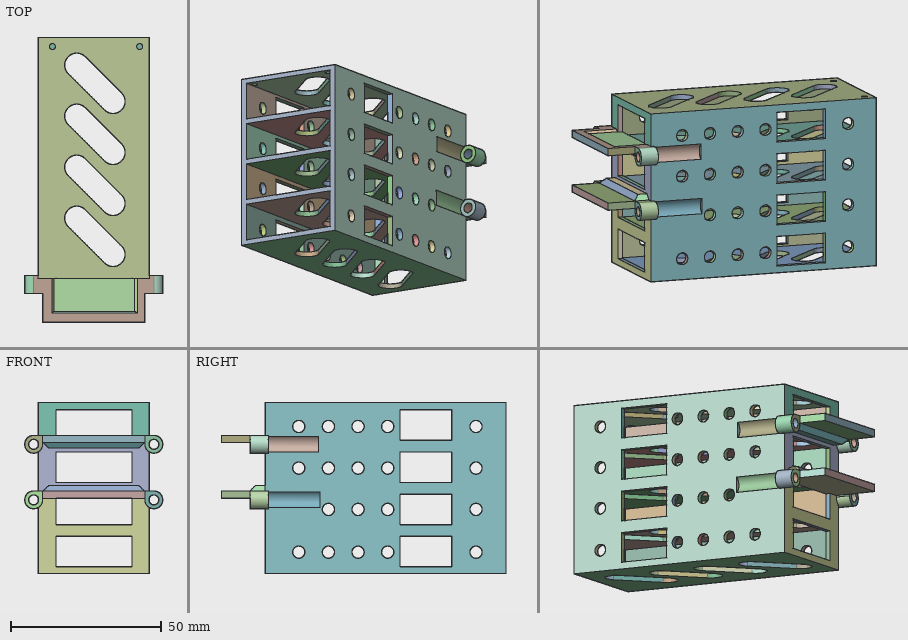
import cadquery as cq

body_width = 37.1
body_length = 80.2
body_height = 57.0
side_wall = 2.0
plate_wall = 1.6
bay_count = 4
bay_height = (body_height - (bay_count + 1) * plate_wall) / bay_count

window_height = 10.05
window_pitch = 14.0
first_window_z = 2.3
front_window_width = 25.2
front_window_x = 0.1
side_window_length = 17.2
side_window_y = 53.5

side_hole_diameter = 4.0
side_hole_pitch = 9.9
side_hole_front_y = 11.2
side_hole_back_y = 70.1
side_hole_rows = (7.1, 21.3, 35.1, 48.9)
short_row = 1
front_group_count = 4

slot_width = 8.0
slot_end_spacing = 17.1
slot_angle = -45
slot_count = 4
slot_pitch = 17.0
slot_first_y = 14.0
slot_x = 0.4
roof_hole_diameter = 2.0
roof_hole_spacing = 29.0
roof_hole_x = 0.8
roof_hole_edge = 3.0

overall_length = 94.8
overall_width = 46.0
ledge_width = 33.9
ledge_thickness = 2.5
ledge_reach = overall_length - body_length
lug_diameter = 6.0
lug_radius = lug_diameter / 2
lug_bore = 3.2
lug_front = 5.0
lug_back = 1.0
lug_x = overall_width / 2 - lug_radius
upper_ledge_top = 46.0
lower_ledge_top = 27.5

rib_width = 33.6
rib_height = 1.8

recess_depth = 0.9
recess_left = -13.8
recess_right = 14.5
recess_front = -11.5
recess_side_slope = 0.6
recess_right_slope = 0.95

upper_groove_length = 17.8
lower_groove_length = 18.2


def box(x_range, y_range, z_range):
    """Box spanning the given (low, high) ranges."""
    size = [high - low for low, high in (x_range, y_range, z_range)]
    corner = (x_range[0], y_range[0], z_range[0])
    return cq.Workplane("XY").box(*size, centered=False).translate(corner)


def y_cylinder(radius, x, z, y_range):
    """Cylinder along Y."""
    return (
        cq.Workplane("XZ", origin=(x, y_range[0], z))
        .circle(radius)
        .extrude(y_range[0] - y_range[1])
    )


def shell():
    """Outer box with the stacked bays removed."""
    half_width = body_width / 2
    half_bay = half_width - side_wall
    part = box((-half_width, half_width), (0, body_length), (0, body_height))
    for bay in range(bay_count):
        floor_z = plate_wall + bay * (bay_height + plate_wall)
        part = part.cut(
            box((-half_bay, half_bay), (plate_wall, body_length), (floor_z, floor_z + bay_height))
        )
    return part


def windows():
    """Cutters for the front windows and the window pairs in the side walls."""
    cutters = cq.Workplane("XY")
    front_x = (front_window_x - front_window_width / 2, front_window_x + front_window_width / 2)
    side_y = (side_window_y - side_window_length / 2, side_window_y + side_window_length / 2)
    for bay in range(bay_count):
        low = first_window_z + bay * window_pitch
        z_range = (low, low + window_height)
        cutters = cutters.add(box(front_x, (0, plate_wall), z_range))
        cutters = cutters.add(box((-body_width / 2, body_width / 2), side_y, z_range))
    return cutters


def side_holes():
    """Cutters for the hole rows, each running through both side walls."""
    points = []
    for row, z in enumerate(side_hole_rows):
        first = 1 if row == short_row else 0
        for index in range(first, front_group_count):
            points.append((side_hole_front_y + index * side_hole_pitch, z))
        points.append((side_hole_back_y, z))
    return (
        cq.Workplane("YZ")
        .pushPoints(points)
        .circle(side_hole_diameter / 2)
        .extrude(body_width / 2, both=True)
    )


def slots():
    """Cutters for the slanted slots, through every level."""
    points = [(slot_x, slot_first_y + index * slot_pitch) for index in range(slot_count)]
    return (
        cq.Workplane("XY")
        .pushPoints(points)
        .slot2D(slot_end_spacing + slot_width, slot_width, slot_angle)
        .extrude(body_height)
    )


def roof_holes():
    """Cutters for the two small holes at the back of the roof."""
    y = body_length - roof_hole_edge
    points = [(roof_hole_x + side * roof_hole_spacing / 2, y) for side in (-1, 1)]
    return (
        cq.Workplane("XY", origin=(0, 0, body_height - plate_wall))
        .pushPoints(points)
        .circle(roof_hole_diameter / 2)
        .extrude(plate_wall)
    )


def rib(base_z, direction):
    """Rib on a ledge face, with 45 degree ends and front; direction is +1 up, -1 down."""
    mound = cq.Workplane("XY").rect(rib_width, 2 * lug_front).extrude(rib_height, taper=45)
    front_half = box((-rib_width / 2, rib_width / 2), (-lug_front, 0), (0, rib_height))
    part = mound.intersect(front_half)
    if direction < 0:
        part = part.mirror("XY")
    return part.translate((0, 0, base_z))


def ledge(top_z):
    """Flat ledge with a lug at each end, its top flush with the lug tops."""
    half_width = ledge_width / 2
    lug_range = (-lug_front, lug_back)
    lug_z = top_z - lug_radius
    part = box((-half_width, half_width), (-ledge_reach, plate_wall), (top_z - ledge_thickness, top_z))
    for side in (-1, 1):
        inner_x, outer_x = sorted((side * half_width, side * lug_x))
        part = part.union(y_cylinder(lug_radius, side * lug_x, lug_z, lug_range))
        part = part.union(box((inner_x, outer_x), lug_range, (lug_z, top_z)))
    return part


def lug_line(radius, top_z, y_range):
    """Pair of cylinders along the lug axes of the ledge whose top is at top_z."""
    left, right = (y_cylinder(radius, side * lug_x, top_z - lug_radius, y_range) for side in (-1, 1))
    return left.add(right)


def recess_corners(left, right, front):
    """Corners of the recess at one height; it runs back to the inner face of the front wall."""
    return [(left, front), (right, front), (right, plate_wall), (left, plate_wall)]


def recess():
    """Cutter for the recess in the upper ledge, narrowing towards its floor; its back is upright."""
    rim = (recess_left, recess_right, recess_front)
    floor = (
        recess_left + recess_side_slope,
        recess_right - recess_right_slope,
        recess_front + recess_side_slope,
    )
    return (
        cq.Workplane("XY", origin=(0, 0, upper_ledge_top - recess_depth))
        .polyline(recess_corners(*floor)).close()
        .workplane(offset=recess_depth)
        .polyline(recess_corners(*rim)).close()
        .loft(ruled=True)
    )


def cut_all(part, cutters):
    """Subtract every solid held by a workplane."""
    for cutter in cutters.vals():
        part = part.cut(cq.Workplane(obj=cutter))
    return part


rack = shell()
for openings in (windows(), side_holes(), slots(), roof_holes()):
    rack = cut_all(rack, openings)
for ledge_top, groove_length in (
    (upper_ledge_top, upper_groove_length),
    (lower_ledge_top, lower_groove_length),
):
    rack = cut_all(rack, lug_line(lug_radius, ledge_top, (0, groove_length)))

upper_ledge = ledge(upper_ledge_top).cut(recess()).union(rib(upper_ledge_top - ledge_thickness, -1))
lower_ledge = ledge(lower_ledge_top).union(rib(lower_ledge_top, 1))
result = rack.union(upper_ledge).union(lower_ledge)
for ledge_top in (upper_ledge_top, lower_ledge_top):
    result = cut_all(result, lug_line(lug_bore / 2, ledge_top, (-lug_front, lug_back)))